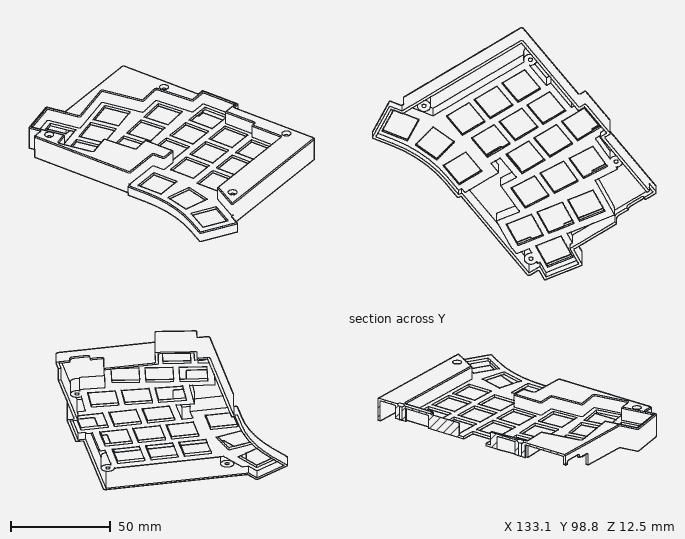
import cadquery as cq
import math


case_height = 12.5
plate_top = 5.5
plate_bottom = 4.0
plate_thickness = plate_top - plate_bottom
ceiling_height = case_height - plate_thickness

wall = 1.5
key_clearance = 0.5
outer_margin = key_clearance + wall
edge_chamfer = 0.5
edge_radius = 0.7
corner_radius = 1.3

key_pitch_x = 18.0
key_pitch_y = 17.0
switch_opening = 14.0
keys_per_column = 3

pinky_column = (-38.2, -25.5, 10)
ring_column = (-19.5, -10.1, 4)
middle_column = (0, 0, 0)
index_column = (key_pitch_x, -8.5, 0)
inner_column = (2 * key_pitch_x, -11.2, 0)
columns = [pinky_column, ring_column, middle_column, index_column, inner_column]

column_gap_width = 4.7

outer_key_rise = 7.9

thumb_x = 12.8
thumb_y = -46.6
thumb_radius = 77.7
thumb_angles = [0, 15, 30]
thumb_pivot_y = thumb_y - thumb_radius

block_left = -56.7
block_right = 60.4
block_front = -55.2
block_back = 23.7

screw_points = [(-28.2, 18.6), (46.2, 18.6), (54.5, -40.7), (-51.0, -49.7)]
screw_hole_diameter = 2.0
screw_head_diameter = 4.5
screw_head_angle = 90
boss_radius = 3.3

port_height = 6.7
port_front = -1.0
port_corner_radius = 1.3
port_reach = 6.7
plug_front = 6.1
plug_back = 16.5
plug_height = 8.7


def local_point(frame, dx, dy):
    """Point at (dx, dy) in a frame given as (x, y, tilt)."""
    x, y, tilt = frame
    a = math.radians(tilt)
    return (x + dx * math.cos(a) - dy * math.sin(a), y + dx * math.sin(a) + dy * math.cos(a))


def prism(points, bottom, top):
    return cq.Workplane("XY").workplane(offset=bottom).polyline(points).close().extrude(top - bottom)


def tilted_box(frame, half_x, half_y, bottom, top):
    corners = [(-half_x, -half_y), (half_x, -half_y), (half_x, half_y), (-half_x, half_y)]
    return prism([local_point(frame, dx, dy) for dx, dy in corners], bottom, top)


def key_box(frame, rows, margin, bottom, top):
    """Block under a column of key cells, grown by a margin on every side."""
    return tilted_box(frame, key_pitch_x / 2 + margin, rows * key_pitch_y / 2 + margin, bottom, top)


outer_key = (*local_point(pinky_column, -key_pitch_x, outer_key_rise - key_pitch_y), pinky_column[2])


def thumb_frame(angle):
    a = math.radians(angle)
    return (thumb_x + thumb_radius * math.sin(a), thumb_pivot_y + thumb_radius * math.cos(a), -angle)


def thumb_plate(margin, bottom, top):
    """Thumb fan with a concave front edge, reaching back to the index column."""
    half_x = key_pitch_x / 2 + margin
    half_y = key_pitch_y / 2 + margin
    reach = key_clearance + margin - outer_margin
    left = thumb_x - half_x
    right = inner_column[0] + key_pitch_x / 2 + reach
    back = index_column[1] - keys_per_column * key_pitch_y / 2 - 2 * key_clearance + reach
    last_key = thumb_frame(thumb_angles[-1])
    far_corner = local_point(last_key, half_x, half_y)
    far_slope = math.tan(math.radians(thumb_angles[-1]))
    shoulder = (right, far_corner[1] + (far_corner[0] - right) * far_slope)
    arc_start, arc_middle, arc_end = [
        local_point(thumb_frame(angle), 0, -half_y) for angle in thumb_angles
    ]
    return (
        cq.Workplane("XY").workplane(offset=bottom)
        .moveTo(left, arc_start[1])
        .lineTo(*arc_start)
        .threePointArc(arc_middle, arc_end)
        .lineTo(*local_point(last_key, half_x, -half_y))
        .lineTo(*far_corner)
        .lineTo(*shoulder)
        .lineTo(right, back)
        .lineTo(left, back)
        .close()
        .extrude(top - bottom)
    )


def column_gap(column, neighbour, margin, bottom, top):
    """Wedge between a tilted column and the straighter column to its right."""
    half_x = key_pitch_x / 2 + margin
    half_y = keys_per_column * key_pitch_y / 2 + margin
    points = [
        local_point(column, 0, half_y),
        local_point(column, half_x + column_gap_width, half_y),
        local_point(neighbour, -half_x, -half_y),
        local_point(column, half_x, -half_y / 2),
    ]
    return prism(points, bottom, top)


def finger_area(margin, bottom, top):
    """Space around the finger keys, grown by a margin."""
    area = key_box(outer_key, 1, margin, bottom, top)
    for column in columns:
        area = area.union(key_box(column, keys_per_column, margin, bottom, top))
    area = area.union(column_gap(pinky_column, ring_column, margin, bottom, top))
    return area.union(column_gap(ring_column, middle_column, margin, bottom, top))


def block(inset, bottom, top):
    return (
        cq.Workplane("XY").workplane(offset=bottom)
        .center((block_left + block_right) / 2, (block_front + block_back) / 2)
        .rect(block_right - block_left - 2 * inset, block_back - block_front - 2 * inset)
        .extrude(top - bottom)
    )


def raised_outline(inset, top):
    """Block with the bays that stick out around the middle column and the outer key."""
    margin = outer_margin - inset
    return (
        block(inset, 0, top)
        .union(key_box(middle_column, keys_per_column, margin, 0, top))
        .union(key_box(outer_key, 1, margin, 0, top))
    )


def is_block_corner(edge):
    center = edge.Center()
    dx = min(abs(center.x - block_left), abs(center.x - block_right))
    dy = min(abs(center.y - block_front), abs(center.y - block_back))
    return max(dx, dy) < edge_radius


def is_other_corner(edge):
    return not is_block_corner(edge)


rim = (
    raised_outline(0, case_height)
    .cut(finger_area(key_clearance, plate_top, case_height))
    .cut(thumb_plate(outer_margin, plate_top, case_height))
)
rim = rim.edges("|Z").filter(is_other_corner).fillet(edge_radius)
rim = rim.edges("|Z").filter(is_block_corner).fillet(corner_radius)
rim = rim.faces(">Z").chamfer(edge_chamfer)

thumb = (
    thumb_plate(outer_margin, 0, plate_top)
    .edges("|Z and (<X or >X or <Y)").fillet(edge_radius)
    .faces(">Z").chamfer(edge_chamfer)
)
case = rim.union(thumb)

case = case.cut(raised_outline(wall, plate_bottom))
case = case.cut(thumb_plate(outer_margin - wall, 0, plate_bottom))

rim_hollow = (
    block(wall, plate_bottom, ceiling_height)
    .cut(finger_area(outer_margin, plate_bottom, ceiling_height))
    .cut(thumb_plate(outer_margin + wall, plate_bottom, ceiling_height))
)
bosses = (
    cq.Workplane("XY").workplane(offset=plate_bottom)
    .pushPoints(screw_points).circle(boss_radius).extrude(ceiling_height - plate_bottom)
)
case = case.cut(rim_hollow.cut(bosses))

case = (
    case.faces(">Z").workplane(origin=(0, 0, case_height))
    .pushPoints(screw_points)
    .cskHole(screw_hole_diameter, screw_head_diameter, screw_head_angle)
)

switch_keys = [outer_key]
for x, y, tilt in columns:
    for index in range(keys_per_column):
        row = index - (keys_per_column - 1) / 2
        switch_keys.append((*local_point((x, y, tilt), 0, row * key_pitch_y), tilt))
for angle in thumb_angles:
    switch_keys.append(thumb_frame(angle))
for key in switch_keys:
    case = case.cut(tilted_box(key, switch_opening / 2, switch_opening / 2, plate_bottom, plate_top))

port_length = block_back - port_front
left_slot = (
    cq.Workplane("XY")
    .box(wall, port_length, port_height, centered=False)
    .edges("|X and >Z and <Y").fillet(port_corner_radius)
    .translate((block_left, port_front, 0))
)
back_slot = (
    cq.Workplane("XY")
    .box(port_reach, wall, port_height, centered=False)
    .translate((block_left, block_back - wall, 0))
)
plug_slot = (
    cq.Workplane("XY")
    .box(wall, plug_back - plug_front, plug_height, centered=False)
    .edges("|X and >Z").fillet(port_corner_radius)
    .translate((block_left, plug_front, 0))
)
case = case.cut(left_slot).cut(back_slot).cut(plug_slot)

result = case